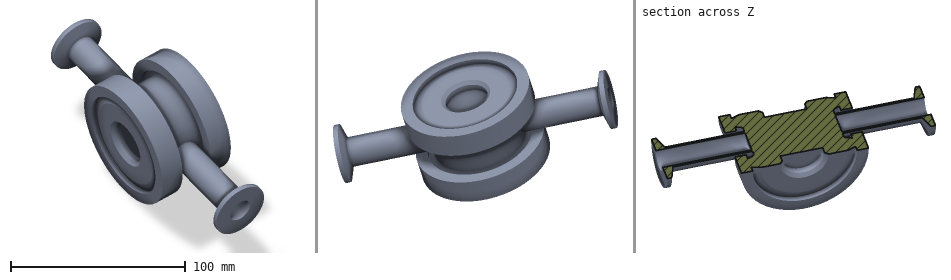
import cadquery as cq
import math

total_length = 160.0
total_depth = 48.5

ring_diameter = 76.0
ring_bore_diameter = 62.0
ring_gap = 20.0

core_diameter = 54.0
plate_face_diameter = 52.0
plate_recess = 1.5
cone_angle = math.radians(20)
inner_cone_setback = 3.3
core_fillet = 2.0

pocket_diameter = 25.0
pocket_chamfer = 2.0
pocket_depth = 6.0

pipe_diameter = 17.3
bore_diameter = 14.0
ferrule_diameter = 34.0
ferrule_rim = 2.85

half_length = total_length / 2
half_depth = total_depth / 2
half_gap = ring_gap / 2
ring_radius = ring_diameter / 2
ring_bore_radius = ring_bore_diameter / 2
core_radius = core_diameter / 2
plate_radius = plate_face_diameter / 2
pocket_radius = pocket_diameter / 2


def make_ring():
    """Plain clamp ring on the +Y side."""
    ring_profile = (
        cq.Workplane("XY")
        .moveTo(ring_bore_radius, half_gap)
        .lineTo(ring_radius, half_gap)
        .lineTo(ring_radius, half_depth)
        .lineTo(ring_bore_radius, half_depth)
        .close()
    )
    return ring_profile.revolve(360, (0, 0, 0), (0, 1, 0))


def make_core():
    """Drum about Y whose end plates flare out, through a fillet and a cone, to the ring bore."""
    plate_y = half_depth - plate_recess
    outer_cone_y = plate_y - (ring_bore_radius - plate_radius) * math.tan(cone_angle)
    inner_cone_y = half_gap + inner_cone_setback

    fillet_centre_r = core_radius + core_fillet
    fillet_top_r = fillet_centre_r - core_fillet * math.sin(cone_angle)
    fillet_top_y = inner_cone_y - (ring_bore_radius - fillet_top_r) * math.tan(cone_angle)
    fillet_base_y = fillet_top_y - core_fillet * math.cos(cone_angle)
    mid_angle = (math.pi / 2 - cone_angle) / 2
    fillet_mid_r = fillet_centre_r - core_fillet * math.cos(mid_angle)
    fillet_mid_y = fillet_base_y + core_fillet * math.sin(mid_angle)

    core_profile = (
        cq.Workplane("XY")
        .moveTo(0, -plate_y)
        .lineTo(plate_radius, -plate_y)
        .lineTo(ring_bore_radius, -outer_cone_y)
        .lineTo(ring_bore_radius, -inner_cone_y)
        .lineTo(fillet_top_r, -fillet_top_y)
        .threePointArc((fillet_mid_r, -fillet_mid_y), (core_radius, -fillet_base_y))
        .lineTo(core_radius, fillet_base_y)
        .threePointArc((fillet_mid_r, fillet_mid_y), (fillet_top_r, fillet_top_y))
        .lineTo(ring_bore_radius, inner_cone_y)
        .lineTo(ring_bore_radius, outer_cone_y)
        .lineTo(plate_radius, plate_y)
        .lineTo(0, plate_y)
        .close()
    )
    core = core_profile.revolve(360, (0, 0, 0), (0, 1, 0))
    pocket = make_pocket(plate_y)
    return core.cut(pocket).cut(pocket.mirror("XZ"))


def make_pocket(mouth_y):
    """Cutter for the chamfered blind pocket sunk into the +Y plate."""
    pocket_profile = (
        cq.Workplane("XY")
        .moveTo(0, mouth_y)
        .lineTo(pocket_radius + pocket_chamfer, mouth_y)
        .lineTo(pocket_radius, mouth_y - pocket_chamfer)
        .lineTo(pocket_radius, mouth_y - pocket_depth)
        .lineTo(0, mouth_y - pocket_depth)
        .close()
    )
    return pocket_profile.revolve(360, (0, 0, 0), (0, 1, 0))


def make_pipe():
    """Hollow pipe with its ferrule on the +X side."""
    bore_radius = bore_diameter / 2
    pipe_radius = pipe_diameter / 2
    ferrule_radius = ferrule_diameter / 2
    rim_x = half_length - ferrule_rim
    cone_x = rim_x - (ferrule_radius - pipe_radius) * math.tan(cone_angle)
    pipe_profile = (
        cq.Workplane("XY")
        .moveTo(0, bore_radius)
        .lineTo(half_length, bore_radius)
        .lineTo(half_length, ferrule_radius)
        .lineTo(rim_x, ferrule_radius)
        .lineTo(cone_x, pipe_radius)
        .lineTo(0, pipe_radius)
        .close()
    )
    return pipe_profile.revolve(360, (0, 0, 0), (1, 0, 0))


ring = make_ring()
pipe = make_pipe()

result = make_core().union(ring).union(ring.mirror("XZ"))
result = result.union(pipe).union(pipe.mirror("YZ"))